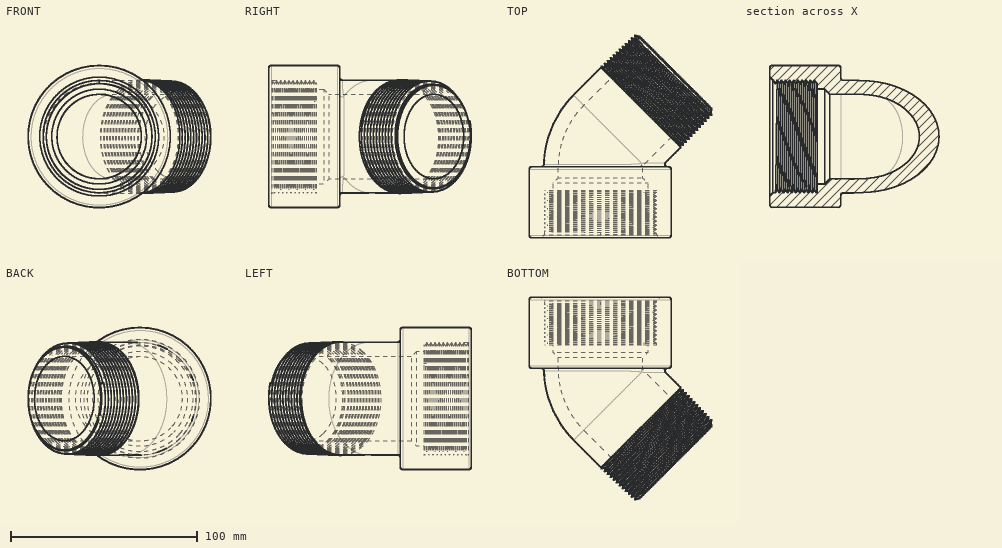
import cadquery as cq
import math

COLLAR_DIAMETER = 76.2
COLLAR_LENGTH = 38.1
EDGE_FILLET = 1.5
NECK_FILLET = 1.3
TUBE_DIAMETER = 60.45
BORE_DIAMETER = 45.21
BEND_ANGLE = 45.0
BEND_RADIUS = 24.0
BEND_START = COLLAR_LENGTH

PITCH = 25.4 / 11.5
THREAD_DEPTH = 0.8 * PITCH
CREST_FLAT = 0.04 * PITCH
FLANK_ANGLE = 30.0
RIDGE_ROOT_OVERLAP = 0.05

LEG_END = 57.15
SHOULDER = 30.9
MALE_RIDGE_START = SHOULDER
MALE_RIDGE_END = 55.85
MALE_TAPER = 1 / 32
MALE_END_ROOT_RADIUS = 27.93
LEG_END_CHAMFER = 0.45
MALE_RIDGE_TURN = 180.0

MOUTH_DIAMETER = 63.7
FEMALE_ROOT_RADIUS = 30.05
SOCKET_DEPTH = 25.4
FEMALE_RIDGE_START = 3.0
FEMALE_RIDGE_TURN = 0.0
SEAT_DIAMETER = 50.8
SEAT_CYLINDER_END = 29.4
SEAT_CONE_ANGLE = 45.0

TUBE_RADIUS = TUBE_DIAMETER / 2
BORE_RADIUS = BORE_DIAMETER / 2
BEND_TANGENT = BEND_RADIUS * math.tan(math.radians(BEND_ANGLE / 2))
AXIS_CROSSING = BEND_START + BEND_TANGENT
COLLAR_AXIS = cq.Plane(origin=(0, 0, 0), xDir=(0, 0, 1), normal=(0, 1, 0))
LEG_AXIS = cq.Plane(
    origin=(0, AXIS_CROSSING, 0),
    xDir=(0, 0, 1),
    normal=(math.sin(math.radians(BEND_ANGLE)), math.cos(math.radians(BEND_ANGLE)), 0),
)


def place(solid, axis, turn=0.0):
    """Turn a solid built along Z about its own axis, then move it onto a pipe axis."""
    turned = solid.rotate((0, 0, 0), (0, 0, 1), turn)
    return cq.Workplane(obj=turned.val().moved(cq.Location(axis)))


def revolve_profile(profile):
    """Solid of revolution about Z from (radius, height) points."""
    return cq.Workplane("XZ").polyline(profile).close().revolve(360, (0, 0, 0), (0, 1, 0))


def make_bend(diameter):
    """Curved piece of the elbow, without the part of each section beyond the bend's own axis."""
    kept_width = 2 * diameter
    section = (
        cq.Sketch()
        .circle(diameter / 2)
        .push([(BEND_RADIUS - kept_width / 2, 0)])
        .rect(kept_width, kept_width, mode="i")
        .reset()
    )
    return (
        cq.Workplane("XZ", origin=(0, BEND_START, 0))
        .placeSketch(section)
        .revolve(BEND_ANGLE, (BEND_RADIUS, 1, 0), (BEND_RADIUS, 0, 0))
    )


def make_ridge(start, end, root_radius, outward, taper=0.0):
    """Helical thread ridge along Z.

    root_radius is the wall radius at start; outward is 1 for a ridge on a shaft and -1 for one in
    a hole; taper is how much the wall radius shrinks per unit height.
    """
    crest_half = CREST_FLAT / 2
    flank_height = THREAD_DEPTH + RIDGE_ROOT_OVERLAP
    base_half = crest_half + flank_height * math.tan(math.radians(FLANK_ANGLE))
    crest = root_radius + outward * THREAD_DEPTH
    base = root_radius - outward * RIDGE_ROOT_OVERLAP
    section = (
        cq.Workplane("XZ")
        .polyline(
            [
                (crest, start - crest_half),
                (crest, start + crest_half),
                (base, start + base_half),
                (base, start - base_half),
            ]
        )
        .close()
    )
    straight = 360.0
    cone_angle = -math.degrees(math.atan(taper)) if taper else straight
    helix = cq.Wire.makeHelix(PITCH, end - start, root_radius, angle=cone_angle)
    path = cq.Workplane(obj=helix.moved(cq.Location(cq.Vector(0, 0, start))))
    return section.sweep(path, isFrenet=True)


def make_collar():
    collar = cq.Workplane(COLLAR_AXIS).circle(COLLAR_DIAMETER / 2).extrude(COLLAR_LENGTH)
    return collar.edges().fillet(EDGE_FILLET)


def male_root_radius(height):
    return MALE_END_ROOT_RADIUS + (LEG_END - height) * MALE_TAPER


def make_leg():
    """Straight leg with a shoulder and the tapered core of the male thread."""
    chamfer_start = LEG_END - LEG_END_CHAMFER
    leg = revolve_profile(
        [
            (0, BEND_TANGENT),
            (TUBE_RADIUS, BEND_TANGENT),
            (TUBE_RADIUS, SHOULDER),
            (male_root_radius(SHOULDER), SHOULDER),
            (male_root_radius(chamfer_start), chamfer_start),
            (MALE_END_ROOT_RADIUS - LEG_END_CHAMFER, LEG_END),
            (0, LEG_END),
        ]
    )
    return place(leg, LEG_AXIS)


def fillet_neck(body):
    """Round the corner where the elbow leaves the collar's inner face."""

    def is_neck(edge):
        box = edge.BoundingBox()
        tolerance = 0.01
        lies_on_face = abs(box.ymin - COLLAR_LENGTH) + abs(box.ymax - COLLAR_LENGTH) < tolerance
        return lies_on_face and box.zmax < TUBE_RADIUS + NECK_FILLET

    neck_edges = [edge for edge in body.edges().vals() if is_neck(edge)]
    return body.newObject(neck_edges).fillet(NECK_FILLET)


def make_socket():
    """Mouth bevel, thread bore, seat and the cone that leads to the pipe bore."""
    bevel_depth = MOUTH_DIAMETER / 2 - FEMALE_ROOT_RADIUS
    seat_radius = SEAT_DIAMETER / 2
    cone_length = (seat_radius - BORE_RADIUS) / math.tan(math.radians(SEAT_CONE_ANGLE))
    socket = revolve_profile(
        [
            (0, 0),
            (MOUTH_DIAMETER / 2, 0),
            (FEMALE_ROOT_RADIUS, bevel_depth),
            (FEMALE_ROOT_RADIUS, SOCKET_DEPTH),
            (seat_radius, SOCKET_DEPTH),
            (seat_radius, SEAT_CYLINDER_END),
            (BORE_RADIUS, SEAT_CYLINDER_END + cone_length),
            (BORE_RADIUS, BEND_START),
            (0, BEND_START),
        ]
    )
    return place(socket, COLLAR_AXIS)


def make_leg_bore():
    bore = cq.Workplane("XY", origin=(0, 0, BEND_TANGENT)).circle(BORE_RADIUS)
    return place(bore.extrude(LEG_END - BEND_TANGENT), LEG_AXIS)


body = make_collar().union(make_bend(TUBE_DIAMETER)).union(make_leg())
body = fillet_neck(body)
body = body.cut(make_socket()).cut(make_bend(BORE_DIAMETER)).cut(make_leg_bore())

male_ridge = make_ridge(
    MALE_RIDGE_START, MALE_RIDGE_END, male_root_radius(MALE_RIDGE_START), 1, MALE_TAPER
)
female_ridge = make_ridge(FEMALE_RIDGE_START, SOCKET_DEPTH, FEMALE_ROOT_RADIUS, -1)
body = body.union(place(male_ridge, LEG_AXIS, MALE_RIDGE_TURN))
result = body.union(place(female_ridge, COLLAR_AXIS, FEMALE_RIDGE_TURN))